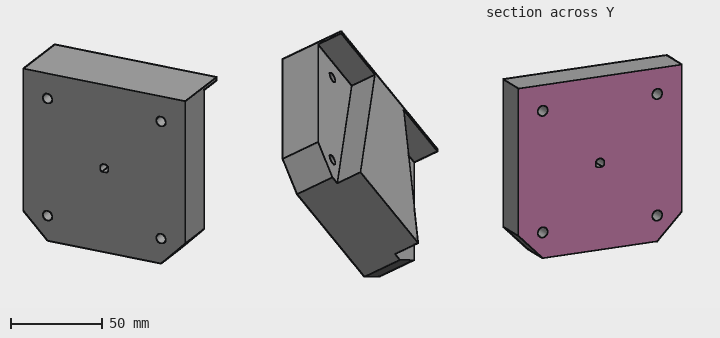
import cadquery as cq

WIDTH = 100.0
HEIGHT = 100.0
BLOCK_DEPTH = 23.0
BOSS_DEPTH = 15.0
TOTAL_DEPTH = BLOCK_DEPTH + BOSS_DEPTH

TOP_PLATE_THICKNESS = 2.0
CORNER_CUT = 15.0

BOSS_BOTTOM_WIDTH = 60.0
BOSS_SIDE_RUN = 15.0
BOSS_TOP_WIDTH = BOSS_BOTTOM_WIDTH - 2 * BOSS_SIDE_RUN

BOLT_HOLE_DIAMETER = 5.7
BOLT_HOLE_SPACING = 70.0

SHAFT_HOLE_DIAMETER = 5.2
SHAFT_FLAT_OFFSET = 2.15
SHAFT_HOLE_DEPTH = BLOCK_DEPTH

HALF_WIDTH = WIDTH / 2
TOP = HEIGHT / 2
BOTTOM = -HEIGHT / 2
PLATE_UNDERSIDE = TOP - TOP_PLATE_THICKNESS


def front_plane(depth=0.0):
    """Sketch plane parallel to the front face; positive extrusion runs towards +Y."""
    return cq.Workplane(cq.Plane(origin=(0, depth, 0), xDir=(-1, 0, 0), normal=(0, 1, 0)))


def make_block():
    """Front block with its two lower corners cut off."""
    outline = [
        (-HALF_WIDTH, TOP),
        (HALF_WIDTH, TOP),
        (HALF_WIDTH, BOTTOM + CORNER_CUT),
        (HALF_WIDTH - CORNER_CUT, BOTTOM),
        (-HALF_WIDTH + CORNER_CUT, BOTTOM),
        (-HALF_WIDTH, BOTTOM + CORNER_CUT),
    ]
    return front_plane().polyline(outline).close().extrude(BLOCK_DEPTH)


def make_top_plate():
    """Thin plate across the top that overhangs the back of the block."""
    plate_centre = (PLATE_UNDERSIDE + TOP) / 2
    return front_plane().center(0, plate_centre).rect(WIDTH, TOP_PLATE_THICKNESS).extrude(TOTAL_DEPTH)


def make_boss():
    """Tapered boss between the bottom edge and the underside of the top plate."""
    outline = [
        (-BOSS_BOTTOM_WIDTH / 2, BOTTOM),
        (BOSS_BOTTOM_WIDTH / 2, BOTTOM),
        (BOSS_TOP_WIDTH / 2, PLATE_UNDERSIDE),
        (-BOSS_TOP_WIDTH / 2, PLATE_UNDERSIDE),
    ]
    return front_plane(BLOCK_DEPTH).polyline(outline).close().extrude(BOSS_DEPTH)


def make_bolt_holes():
    """Cutters for the four bolt holes."""
    pattern = front_plane().rect(BOLT_HOLE_SPACING, BOLT_HOLE_SPACING, forConstruction=True)
    return pattern.vertices().circle(BOLT_HOLE_DIAMETER / 2).extrude(BLOCK_DEPTH)


def make_shaft_hole():
    """Cutter for the shaft hole: a cylinder with a flat along its lower side."""
    radius = SHAFT_HOLE_DIAMETER / 2
    cylinder = front_plane().circle(radius).extrude(SHAFT_HOLE_DEPTH)
    above_flat_height = radius + SHAFT_FLAT_OFFSET
    above_flat_centre = (radius - SHAFT_FLAT_OFFSET) / 2
    above_flat = (
        front_plane()
        .center(0, above_flat_centre)
        .rect(SHAFT_HOLE_DIAMETER, above_flat_height)
        .extrude(SHAFT_HOLE_DEPTH)
    )
    return cylinder.intersect(above_flat)


body = make_block().union(make_top_plate()).union(make_boss())
result = body.cut(make_bolt_holes()).cut(make_shaft_hole())